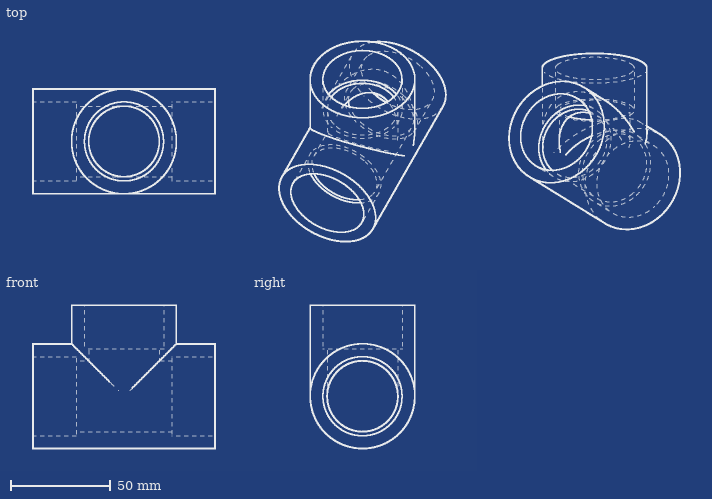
import cadquery as cq

outer_diameter = 53.0
socket_diameter = 40.0
bore_diameter = 35.67
run_length = 92.0
socket_depth = 22.0

end_distance = run_length / 2


def run_cylinder(diameter, length):
    """Cylinder along X, centred on the tee centre."""
    return cq.Workplane("YZ").circle(diameter / 2).extrude(length / 2, both=True)


def branch_cylinder(diameter):
    """Cylinder along Z, from the tee centre to the branch end."""
    return cq.Workplane("XY").circle(diameter / 2).extrude(end_distance)


def socket(direction):
    """Pipe socket cut inward from the open end that faces the given direction."""
    mouth_centre = cq.Vector(*direction) * end_distance
    mouth = cq.Plane(origin=mouth_centre.toTuple(), xDir=(0, 1, 0), normal=direction)
    return cq.Workplane(mouth).circle(socket_diameter / 2).extrude(-socket_depth)


body = run_cylinder(outer_diameter, run_length).union(branch_cylinder(outer_diameter))
passages = run_cylinder(bore_diameter, run_length).union(branch_cylinder(bore_diameter))

result = body.cut(passages)
for end_direction in ((1, 0, 0), (-1, 0, 0), (0, 0, 1)):
    result = result.cut(socket(end_direction))